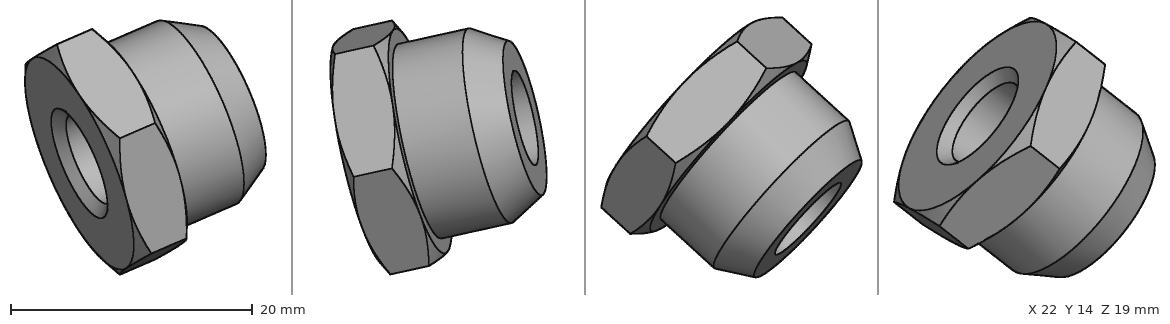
import cadquery as cq
import math

ACROSS_CORNERS = 21.95
ACROSS_FLATS = ACROSS_CORNERS * math.cos(math.radians(30))
HEAD_LENGTH = 5.0
HEAD_CHAMFER_ANGLE = 30.0

SHANK_DIAMETER = 16.5
SHANK_LENGTH = 6.01
NOSE_LENGTH = 2.98
NOSE_END_DIAMETER = 13.08
TOTAL_LENGTH = HEAD_LENGTH + SHANK_LENGTH + NOSE_LENGTH

BORE_DIAMETER = 8.0
COUNTERSINK_DIAMETER = 9.83
COUNTERSINK_DEPTH = (COUNTERSINK_DIAMETER - BORE_DIAMETER) / 2


def revolve_about_y(points):
    """Revolve a closed (radius, y) outline about the part axis, Y."""
    return cq.Workplane("XY").polyline(points).close().revolve(360, (0, 0, 0), (0, 1, 0))


def make_head():
    """Hexagon with corners on X, its corners turned off conically at both ends."""
    hexagon = cq.Workplane("XZ").polygon(6, ACROSS_CORNERS).extrude(-HEAD_LENGTH)
    face_radius = ACROSS_FLATS / 2
    corner_radius = ACROSS_CORNERS / 2
    chamfer_drop = (corner_radius - face_radius) * math.tan(math.radians(HEAD_CHAMFER_ANGLE))
    envelope = revolve_about_y([
        (0, 0),
        (face_radius, 0),
        (corner_radius, chamfer_drop),
        (corner_radius, HEAD_LENGTH - chamfer_drop),
        (face_radius, HEAD_LENGTH),
        (0, HEAD_LENGTH),
    ])
    return hexagon.intersect(envelope)


def make_shank():
    """Cylinder behind the head, tapering to a flat end."""
    return revolve_about_y([
        (0, 0),
        (SHANK_DIAMETER / 2, 0),
        (SHANK_DIAMETER / 2, HEAD_LENGTH + SHANK_LENGTH),
        (NOSE_END_DIAMETER / 2, TOTAL_LENGTH),
        (0, TOTAL_LENGTH),
    ])


def make_bore():
    """Through bore with a countersink in the head face."""
    return revolve_about_y([
        (0, 0),
        (COUNTERSINK_DIAMETER / 2, 0),
        (BORE_DIAMETER / 2, COUNTERSINK_DEPTH),
        (BORE_DIAMETER / 2, TOTAL_LENGTH),
        (0, TOTAL_LENGTH),
    ])


result = make_head().union(make_shank()).cut(make_bore())